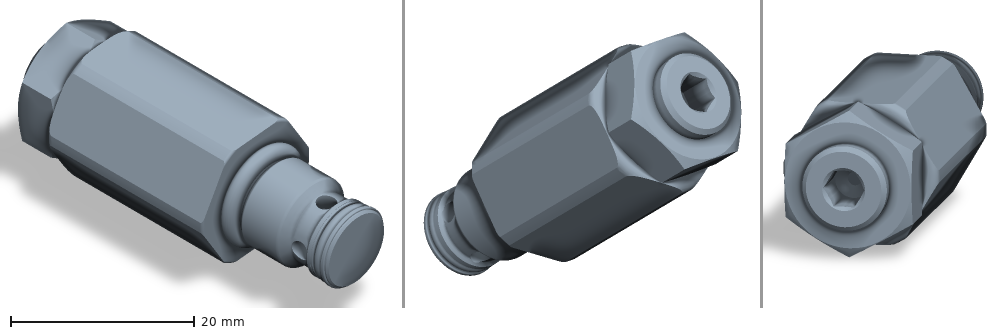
import cadquery as cq
import math

length = 45.6

stub_radius = 4.75
stub_chamfer = 0.5
socket_flats = 4.0
socket_depth = 4.55
socket_mouth_radius = 2.4
pilot_diameter = 4.05
pilot_radius = pilot_diameter / 2
socket_mouth_chamfer = socket_mouth_radius - pilot_radius
drill_tip_radius = 0.77
drill_tip_depth = 0.75

nut_start = 1.95
nut_end = 7.55
nut_corner_radius = 8.25
nut_face_radius = 7.05
nut_chamfer_length = 0.7

body_start = nut_end
body_end = 30.75
body_flats = 15.8
body_turned_radius = 8.75
body_front_fillet = 0.9
body_rear_fillet = 0.3

o_ring_thickness = 1.85
o_ring_outer_radius = 6.3

collar_start = 32.85
collar_end = 38.8
collar_radius = 5.45
collar_chamfer = 0.75
collar_front_fillet = 0.25
collar_rear_fillet = 0.45
spigot_radius = collar_radius - collar_chamfer

waist_radius = 4.35
waist_fillet = 0.2
waist_end = 42.15
cross_hole_x = 41.15
cross_hole_radius = 1.2
cross_hole_count = 4
core_radius = 2.5

land_radius = 4.8
backup_ring_start = 43.1
backup_ring_radius = 4.75
seal_thickness = 1.28
seal_start = 43.4
seal_outer_radius = 4.85
flange_radius = 4.9
flange_end = 45.15
flange_fillet = 0.15
nose_radius = 4.7
nose_chamfer = 0.25


def turned(outline):
    """Revolve a closed (x, radius) outline about the X axis."""
    return outline.close().revolve(360, (0, 0, 0), (1, 0, 0))


def cylinder(start, end, radius):
    return cq.Workplane("YZ").workplane(offset=start).circle(radius).extrude(end - start)


def hexagon(start, end, corner_radius, first_angle):
    """Hexagonal bar along X; first_angle is measured from +Y toward +Z."""
    corners = []
    for i in range(6):
        angle = math.radians(first_angle + 60 * i)
        corners.append((corner_radius * math.cos(angle), corner_radius * math.sin(angle)))
    return cq.Workplane("YZ").workplane(offset=start).polyline(corners).close().extrude(end - start)


def make_stub():
    return cylinder(0, nut_start, stub_radius).faces("<X").chamfer(stub_chamfer)


def make_nut():
    """Hex nut with corners on +Z and -Z, both ends chamfered conically."""
    envelope = turned(
        cq.Workplane("XY")
        .moveTo(nut_start, 0)
        .lineTo(nut_start, nut_face_radius)
        .lineTo(nut_start + nut_chamfer_length, nut_corner_radius)
        .lineTo(nut_end - nut_chamfer_length, nut_corner_radius)
        .lineTo(nut_end, nut_face_radius)
        .lineTo(nut_end, 0)
    )
    return hexagon(nut_start, nut_end, nut_corner_radius, 30).intersect(envelope)


def make_body():
    """Hex body with flats on +Z and -Z, its corners turned to a rounded cylinder."""
    envelope = (
        cylinder(body_start, body_end, body_turned_radius)
        .faces("<X").edges().fillet(body_front_fillet)
        .faces(">X").edges().fillet(body_rear_fillet)
    )
    corner_radius = body_flats / 2 / math.cos(math.radians(30))
    return hexagon(body_start, body_end, corner_radius, 0).intersect(envelope)


def make_o_ring():
    ring_peak = body_end + o_ring_thickness / 2
    ring_end = body_end + o_ring_thickness
    center_radius = o_ring_outer_radius - o_ring_thickness / 2
    return turned(
        cq.Workplane("XY")
        .moveTo(body_end, 0)
        .lineTo(body_end, center_radius)
        .threePointArc((ring_peak, o_ring_outer_radius), (ring_end, center_radius))
        .lineTo(ring_end, 0)
    )


def make_collar_and_waist():
    """Spigot, chamfered collar and the necked waist up to the nose land."""
    waist_start = collar_end + collar_radius - waist_radius
    land_start = waist_end + land_radius - waist_radius
    blank = turned(
        cq.Workplane("XY")
        .moveTo(body_end, 0)
        .lineTo(body_end, spigot_radius)
        .lineTo(collar_start, spigot_radius)
        .lineTo(collar_start + collar_chamfer, collar_radius)
        .lineTo(collar_end, collar_radius)
        .lineTo(waist_start, waist_radius)
        .lineTo(waist_end, waist_radius)
        .lineTo(land_start, land_radius)
        .lineTo(backup_ring_start, land_radius)
        .lineTo(backup_ring_start, 0)
    )
    collar_rims = cq.selectors.RadiusNthSelector(-1)
    waist_rims = cq.selectors.RadiusNthSelector(0)
    return (
        blank
        .edges(collar_rims).edges("<X").fillet(collar_front_fillet)
        .edges(collar_rims).edges(">X").fillet(collar_rear_fillet)
        .edges(waist_rims).fillet(waist_fillet)
    )


def make_nose():
    seal_peak = seal_start + seal_thickness / 2
    seal_end = seal_start + seal_thickness
    seal_center_radius = seal_outer_radius - seal_thickness / 2
    blank = turned(
        cq.Workplane("XY")
        .moveTo(backup_ring_start, 0)
        .lineTo(backup_ring_start, backup_ring_radius)
        .lineTo(seal_start, backup_ring_radius)
        .lineTo(seal_start, seal_center_radius)
        .threePointArc((seal_peak, seal_outer_radius), (seal_end, seal_center_radius))
        .lineTo(seal_end, flange_radius)
        .lineTo(flange_end, flange_radius)
        .lineTo(flange_end, nose_radius)
        .lineTo(length, nose_radius)
        .lineTo(length, 0)
    )
    flange_rims = cq.selectors.RadiusNthSelector(-1)
    return blank.edges(flange_rims).fillet(flange_fillet).faces(">X").edges().chamfer(nose_chamfer)


def make_socket():
    """Hex socket over a pilot hole with a blunt drill point and a conical mouth."""
    corner_radius = socket_flats / 2 / math.cos(math.radians(30))
    hex_hole = hexagon(0, socket_depth, corner_radius, 0)
    pilot_and_mouth = turned(
        cq.Workplane("XY")
        .moveTo(0, 0)
        .lineTo(0, socket_mouth_radius)
        .lineTo(socket_mouth_chamfer, pilot_radius)
        .lineTo(socket_depth, pilot_radius)
        .lineTo(socket_depth + drill_tip_depth, drill_tip_radius)
        .lineTo(socket_depth + drill_tip_depth, 0)
    )
    return hex_hole.union(pilot_and_mouth)


def make_cross_holes():
    """Radial holes through the waist wall, stopping at the inner core."""
    hole = (
        cq.Workplane("XY").center(cross_hole_x, 0).circle(cross_hole_radius).extrude(collar_radius)
    )
    holes = cq.Workplane("XY")
    for i in range(cross_hole_count):
        holes = holes.add(hole.rotate((0, 0, 0), (1, 0, 0), i * 360 / cross_hole_count))
    core = cylinder(collar_end, backup_ring_start, core_radius)
    return holes.combine().cut(core)


result = make_stub()
for piece in (make_nut(), make_body(), make_o_ring(), make_collar_and_waist(), make_nose()):
    result = result.union(piece)
result = result.cut(make_socket()).cut(make_cross_holes())